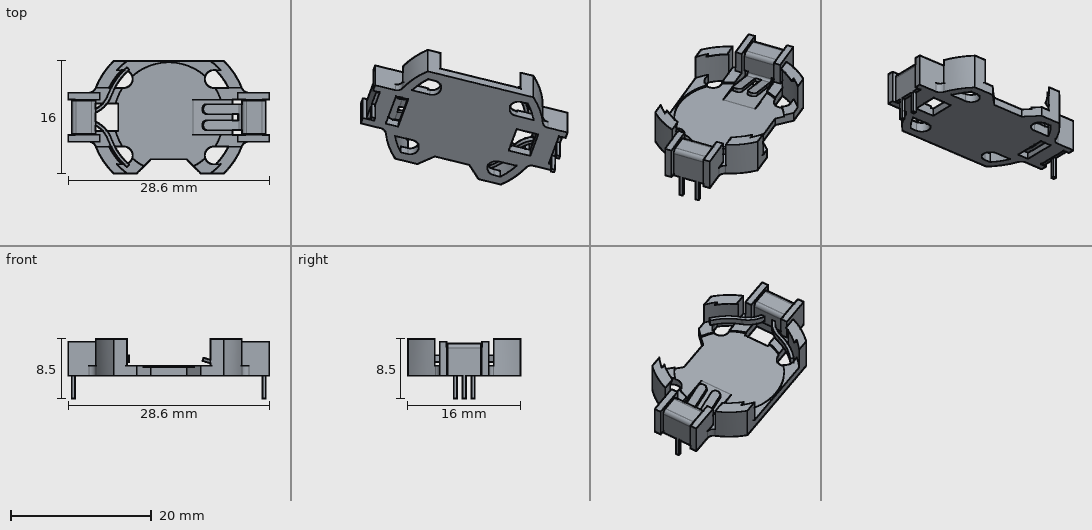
import cadquery as cq
import math


HOLDER_LENGTH = 28.6
HOLDER_WIDTH = 16.0
BODY_RADIUS = 11.2
BASE_THICKNESS = 1.45
CELL_RADIUS = 7.8
FLOOR_HEIGHT = 1.2

CHEEK_LENGTH = 4.5
CHEEK_HEIGHT = 4.85
CHEEK_OUTER_Y = 3.5
CHEEK_INNER_Y = 2.5
NECK_FILLET = 1.0

HORN_HEIGHT = 5.25
HORN_INNER_RADIUS = 9.95
HORN_LIP = 0.5
HORN_END_Y = 4.18

RELIEF_RADIUS = 1.25
RELIEF_X = 6.39
RELIEF_Y = HORN_END_Y + RELIEF_RADIUS
HORN_STEP_Y = RELIEF_Y + RELIEF_RADIUS

NOTCH_DEPTH = 2.0
NOTCH_HALF_WIDTH = 2.55

WINDOW_INNER_X = -7.2
WINDOW_HALF_WIDTH = 1.95

RAMP_START_X = 3.4
RAMP_END_X = 9.07
RAMP_END_HEIGHT = 0.56

SHEET = 0.5
CLIP_INNER_X = 10.4
CLIP_OUTER_X = 13.8
CLIP_TOP = 4.6
CLIP_HALF_WIDTH = 2.37
CLIP_RADIUS = 0.6
PIN_LENGTH = 3.25
PIN_WIDTH = 0.5
PIN_PITCH = 2.5

BAR_INNER_X = CLIP_INNER_X + SHEET
BAR_OUTER_X = CLIP_OUTER_X - SHEET
BAR_TOP = CLIP_TOP - SHEET
BAR_RADIUS = CLIP_RADIUS - SHEET

ARM_BOTTOM = 1.95
ARM_HEIGHT = 1.0
ARM_THICKNESS = 0.5
ARM_JOINT = (-8.38, 3.16)
ARM_JOINT_ANGLE = 70.0
ARM_INNER_RADIUS = 4.11
ARM_INNER_TURN = 47.0
ARM_TIP_RADIUS = 9.0
ARM_TIP_TURN = 29.4

FINGER_ANGLE = 17.3
FINGER_TIP_X = 4.93
FINGER_WIDTH = 1.4
FINGER_SPACING = 2.3
FINGER_CORNER = 0.6
BEND_RADIUS = 0.33
BEND_HEIGHT = 1.33


def box(x_min, x_max, y_min, y_max, z_min, z_max):
    size = (x_max - x_min, y_max - y_min, z_max - z_min)
    return cq.Workplane("XY").box(*size, centered=False).translate((x_min, y_min, z_min))


def disc(radius, z_min, z_max):
    return cq.Workplane("XY").workplane(offset=z_min).circle(radius).extrude(z_max - z_min)


def base_plate():
    half_length = HOLDER_LENGTH / 2 - CHEEK_LENGTH / 2
    half_width = HOLDER_WIDTH / 2
    plate = disc(BODY_RADIUS, 0, BASE_THICKNESS)
    plate = plate.intersect(
        box(-BODY_RADIUS, BODY_RADIUS, -half_width, half_width, 0, BASE_THICKNESS)
    )
    neck = box(-half_length, half_length, -CHEEK_OUTER_Y, CHEEK_OUTER_Y, 0, BASE_THICKNESS)
    plate = plate.union(neck)
    neck_x = math.sqrt(BODY_RADIUS**2 - CHEEK_OUTER_Y**2)
    for side_x in (-1, 1):
        for side_y in (-1, 1):
            corner = (side_x * neck_x, side_y * CHEEK_OUTER_Y, BASE_THICKNESS / 2)
            plate = plate.edges(cq.selectors.NearestToPointSelector(corner)).fillet(NECK_FILLET)
    return plate


def horn():
    """The +X +Y horn: an arc wall with a lip that stops at the step."""
    cavity = disc(HORN_INNER_RADIUS, 0, HORN_HEIGHT)
    lipped_cavity = cavity.faces(">Z").edges().chamfer(HORN_LIP)
    disc_body = disc(BODY_RADIUS, 0, HORN_HEIGHT)
    lipped = disc_body.cut(lipped_cavity).intersect(
        box(0, BODY_RADIUS, HORN_END_Y, HORN_STEP_Y, 0, HORN_HEIGHT)
    )
    plain = disc_body.cut(cavity).intersect(
        box(0, BODY_RADIUS, HORN_STEP_Y, HOLDER_WIDTH / 2, 0, HORN_HEIGHT)
    )
    return lipped.union(plain)


def relief():
    """The +X +Y opening through the base, between its round end and the horn."""
    hole = cq.Workplane("XY").center(RELIEF_X, RELIEF_Y).circle(RELIEF_RADIUS).extrude(BASE_THICKNESS)
    slot = box(RELIEF_X, BODY_RADIUS, HORN_END_Y, HORN_STEP_Y, 0, BASE_THICKNESS)
    return hole.union(slot).intersect(disc(HORN_INNER_RADIUS, 0, BASE_THICKNESS))


def at_four_corners(corner):
    right = corner.union(corner.mirror("XZ"))
    return right.union(right.mirror("YZ"))


def end_block():
    """The +X end: two cheeks with the bar that carries the clip between them."""
    outer_x = HOLDER_LENGTH / 2
    block = box(BAR_INNER_X, BAR_OUTER_X, -CHEEK_INNER_Y, CHEEK_INNER_Y, 0, BAR_TOP)
    block = block.edges("|Y and >Z").fillet(BAR_RADIUS)
    for y_min in (-CHEEK_OUTER_Y, CHEEK_INNER_Y):
        y_max = y_min + CHEEK_OUTER_Y - CHEEK_INNER_Y
        block = block.union(box(outer_x - CHEEK_LENGTH, outer_x, y_min, y_max, 0, CHEEK_HEIGHT))
    return block


def finger_notch():
    edge_y = -HOLDER_WIDTH / 2
    return (
        cq.Workplane("XY")
        .polyline([
            (-NOTCH_HALF_WIDTH - NOTCH_DEPTH, edge_y),
            (-NOTCH_HALF_WIDTH, edge_y + NOTCH_DEPTH),
            (NOTCH_HALF_WIDTH, edge_y + NOTCH_DEPTH),
            (NOTCH_HALF_WIDTH + NOTCH_DEPTH, edge_y),
        ])
        .close()
        .extrude(BASE_THICKNESS)
    )


def finger_pocket():
    """Sloping pocket that runs into a slot through the base at the +X bar."""
    ramp_slope = (FLOOR_HEIGHT - RAMP_END_HEIGHT) / (RAMP_END_X - RAMP_START_X)
    slot_length = BAR_INNER_X - RAMP_END_X
    ramp = (
        cq.Workplane("XZ")
        .polyline([
            (RAMP_START_X, FLOOR_HEIGHT),
            (RAMP_END_X, RAMP_END_HEIGHT),
            (BAR_INNER_X, RAMP_END_HEIGHT - ramp_slope * slot_length),
            (BAR_INNER_X, BASE_THICKNESS),
            (RAMP_START_X, BASE_THICKNESS),
        ])
        .close()
        .extrude(CHEEK_INNER_Y, both=True)
    )
    slot = box(RAMP_END_X, BAR_INNER_X, -CHEEK_INNER_Y, CHEEK_INNER_Y, 0, BASE_THICKNESS)
    return ramp.union(slot)


def make_housing():
    body = base_plate()
    window = box(
        -CLIP_INNER_X, WINDOW_INNER_X, -WINDOW_HALF_WIDTH, WINDOW_HALF_WIDTH, 0, BASE_THICKNESS
    )
    body = body.cut(disc(CELL_RADIUS, FLOOR_HEIGHT, BASE_THICKNESS))
    body = body.cut(finger_notch()).cut(window).cut(finger_pocket())
    body = body.cut(at_four_corners(relief()))
    body = body.union(at_four_corners(horn()))
    return body.union(end_block()).union(end_block().mirror("YZ"))


def clip(pin_positions):
    """Sheet folded over the +X bar, with solder pins below its outer wall."""
    width = CLIP_HALF_WIDTH
    sheet = box(CLIP_INNER_X, CLIP_OUTER_X, -width, width, 0, CLIP_TOP)
    sheet = sheet.edges("|Y and >Z").fillet(CLIP_RADIUS)
    inside = box(BAR_INNER_X, BAR_OUTER_X, -width, width, 0, BAR_TOP)
    sheet = sheet.cut(inside.edges("|Y and >Z").fillet(BAR_RADIUS))
    sheet = sheet.cut(box(CLIP_INNER_X, BAR_INNER_X, -width, width, 0, BASE_THICKNESS))
    for y in pin_positions:
        y_min = y - PIN_WIDTH / 2
        pin = box(BAR_OUTER_X, CLIP_OUTER_X, y_min, y_min + PIN_WIDTH, -PIN_LENGTH, BASE_THICKNESS)
        sheet = sheet.union(pin)
    return sheet


def arc_strip(radius, turn):
    """Arm section that leaves the joint along its direction and turns about an axis to its side.

    A positive radius puts the axis on the left, and a positive turn is counterclockwise.
    """
    start = math.radians(ARM_JOINT_ANGLE - math.copysign(90, radius))
    axis_x = ARM_JOINT[0] - abs(radius) * math.cos(start)
    axis_y = ARM_JOINT[1] - abs(radius) * math.sin(start)

    def point(offset, share):
        angle = start + share * math.radians(turn)
        reach = abs(radius) + offset
        return (axis_x + reach * math.cos(angle), axis_y + reach * math.sin(angle))

    half = ARM_THICKNESS / 2
    return (
        cq.Workplane("XY", origin=(0, 0, ARM_BOTTOM))
        .moveTo(*point(-half, 0))
        .threePointArc(point(-half, 0.5), point(-half, 1))
        .lineTo(*point(half, 1))
        .threePointArc(point(half, 0.5), point(half, 0))
        .close()
        .extrude(ARM_HEIGHT)
    )


def spring_arm():
    """The +Y positive arm."""
    inner = arc_strip(ARM_INNER_RADIUS, -ARM_INNER_TURN)
    tip = arc_strip(-ARM_TIP_RADIUS, -ARM_TIP_TURN)
    return inner.union(tip)


def make_positive_contact():
    contact = clip([-PIN_PITCH / 2, PIN_PITCH / 2]).mirror("YZ")
    arm = spring_arm()
    return contact.union(arm).union(arm.mirror("XZ"))


def make_negative_contact():
    slope = math.radians(FINGER_ANGLE)
    along = (-math.cos(slope), math.sin(slope))
    below = (-math.sin(slope), -math.cos(slope))
    axis_x = CLIP_INNER_X - BEND_RADIUS
    outer_radius = BEND_RADIUS + SHEET

    def on_bend(radius, direction):
        return (axis_x + radius * direction[0], BEND_HEIGHT + radius * direction[1])

    middle_angle = -(math.pi / 2 + slope) / 2
    middle = (math.cos(middle_angle), math.sin(middle_angle))
    bend_end = on_bend(BEND_RADIUS, below)
    finger_length = (bend_end[0] - FINGER_TIP_X) / math.cos(slope)

    half_width = (FINGER_SPACING + FINGER_WIDTH) / 2
    bend = (
        cq.Workplane("XZ")
        .moveTo(CLIP_INNER_X, BASE_THICKNESS)
        .lineTo(CLIP_INNER_X, BEND_HEIGHT)
        .threePointArc(on_bend(BEND_RADIUS, middle), bend_end)
        .lineTo(*on_bend(outer_radius, below))
        .threePointArc(on_bend(outer_radius, middle), (BAR_INNER_X, BEND_HEIGHT))
        .lineTo(BAR_INNER_X, BASE_THICKNESS)
        .close()
        .extrude(half_width, both=True)
    )
    contact = clip([0]).union(bend)

    top_face = cq.Plane(
        origin=(bend_end[0], 0, bend_end[1]),
        xDir=(along[0], 0, along[1]),
        normal=(-below[0], 0, -below[1]),
    )
    for y in (-FINGER_SPACING / 2, FINGER_SPACING / 2):
        finger = (
            cq.Workplane(top_face)
            .center(finger_length / 2, y)
            .rect(finger_length, FINGER_WIDTH)
            .extrude(-SHEET)
        )
        tip_corners = finger.faces("<X").edges("not |Y")
        contact = contact.union(tip_corners.fillet(FINGER_CORNER))
    return contact


housing = make_housing()
positive_contact = make_positive_contact()
negative_contact = make_negative_contact()

result = cq.Compound.makeCompound([
    housing.solids().val(),
    positive_contact.solids().val(),
    negative_contact.solids().val(),
])